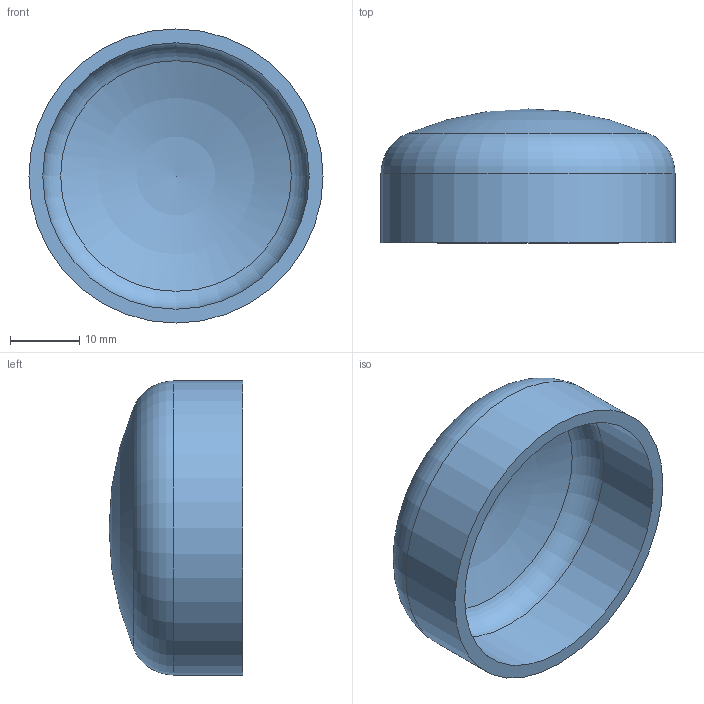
import cadquery as cq
import math

outer_diameter = 42.4
wall = 2.0
skirt_length = 10.0
inner_crown_radius = outer_diameter
inner_knuckle_radius = 0.1 * outer_diameter

outer_radius = outer_diameter / 2
knuckle_center_x = outer_radius - wall - inner_knuckle_radius

center_distance = inner_crown_radius - inner_knuckle_radius
crown_center_y = skirt_length - math.sqrt(center_distance**2 - knuckle_center_x**2)
tangent_angle = math.asin(knuckle_center_x / center_distance)


def arc_point(center_x, center_y, radius, angle):
    """Point on an arc at an angle measured from the +Y axis."""
    return (center_x + radius * math.sin(angle), center_y + radius * math.cos(angle))


def solid_dome(offset):
    """Solid of revolution bounded by the inner surface moved outward by offset."""
    knuckle_radius = inner_knuckle_radius + offset
    crown_radius = inner_crown_radius + offset
    skirt_radius = knuckle_center_x + knuckle_radius
    knuckle_mid_angle = (tangent_angle + math.pi / 2) / 2

    knuckle_mid = arc_point(knuckle_center_x, skirt_length, knuckle_radius, knuckle_mid_angle)
    tangent_point = arc_point(knuckle_center_x, skirt_length, knuckle_radius, tangent_angle)
    crown_mid = arc_point(0, crown_center_y, crown_radius, tangent_angle / 2)
    apex = (0, crown_center_y + crown_radius)

    profile = (
        cq.Workplane("XY")
        .moveTo(0, 0)
        .lineTo(skirt_radius, 0)
        .lineTo(skirt_radius, skirt_length)
        .threePointArc(knuckle_mid, tangent_point)
        .threePointArc(crown_mid, apex)
        .close()
    )
    return profile.revolve(360, (0, 0, 0), (0, 1, 0))


result = solid_dome(wall).cut(solid_dome(0))